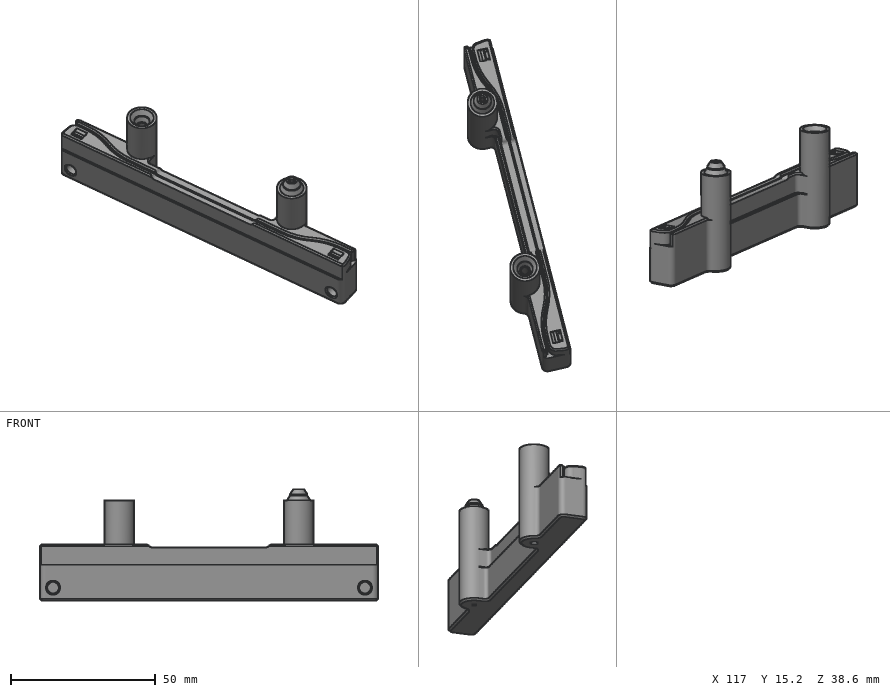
import cadquery as cq
import math

length = 117.0
half_length = length / 2
body_depth = 10.3
body_height = 19.5
corner_radius = 2.0
bottom_chamfer = 0.7
top_chamfer = 0.6

ledge_height = 12.5
front_setback = 0.7
back_setback = 1.0
ledge_chamfer = 0.4

pillar_spacing = 62.0
pillar_radius = 5.1
total_depth = 15.2
pillar_top = 34.7
pillar_x = pillar_spacing / 2
pillar_y = total_depth - pillar_radius
pillar_fillet = 1.8
notch_half_width = pillar_x - pillar_radius
notch_back = 7.0
notch_fillet = 1.4

total_height = 38.6
cone_base_radius = 4.1
cone_middle_radius = 3.0
cone_end_radius = 1.9
tip_collar_bottom = 36.4
tip_collar_top = 36.9
tip_bore_radius = 0.7
tip_mouth_radius = 1.2
tip_mouth_depth = 0.5
socket_collar_top = pillar_top - (tip_collar_bottom - pillar_top)
socket_collar_bottom = pillar_top - (tip_collar_top - pillar_top)
socket_floor = pillar_top - (total_height - pillar_top)
socket_middle_radius = 2.7
socket_end_radius = 1.8
socket_bore_radius = 1.3

lowered_height = 18.5
ramp_middle = 20.7
ramp_radius = 1.5

channel_floor = 14.6
channel_width = 0.6
channel_middle_y = 3.0
channel_end_y = 8.0
bend_start = 31.8
bend_end = 52.4
front_mouth_x = half_length - 0.4
back_mouth_x = half_length - 0.8
mouth_front_y = 2.8
front_lip_radius = 2.6
back_lip_radius = 0.7

pocket_x = 53.1
pocket_width = 4.2
pocket_front = 2.5
pocket_back = 6.0
pocket_slope = 1.0
pocket_depth = 0.7
well_back = 3.9
well_depth = 1.4
wedge_width = 2.6
wedge_depth = 1.0

pin_x = 53.9
pin_z = 4.6
pin_radius = 2.0
pin_depth = 5.8
pin_chamfer = 0.5

overrun = 1.2
slack = 0.1


def both_ends(shape):
    """Return a right-hand shape together with its mirror image on the left."""
    return shape.union(shape.mirror("YZ"))


def rounded_plan(bottom, top, middle_back):
    """Bar outline with rounded corners, its back cut forward to middle_back between the pillars."""
    block = (
        cq.Workplane("XY", origin=(0, body_depth / 2, bottom))
        .rect(length, body_depth)
        .extrude(top - bottom)
        .edges("|Z")
        .fillet(corner_radius)
    )
    notch_depth = pillar_y - middle_back
    notch = (
        cq.Workplane("XY", origin=(0, middle_back + notch_depth / 2, bottom))
        .rect(2 * notch_half_width, notch_depth)
        .extrude(top - bottom)
        .edges("|Z and <Y")
        .fillet(notch_fillet)
    )
    back_strip = (
        cq.Workplane("XY", origin=(0, pillar_y + body_depth / 2, bottom))
        .rect(2 * pillar_x, body_depth)
        .extrude(top - bottom)
    )
    return block.cut(notch).cut(back_strip)


def pillars():
    """The two round pillars, standing from the underside up to their shoulders."""
    return (
        cq.Workplane("XY")
        .pushPoints([(-pillar_x, pillar_y), (pillar_x, pillar_y)])
        .circle(pillar_radius)
        .extrude(pillar_top)
    )


def pillar_webs():
    """Concave fillets joining the back of the bar to the outer side of each pillar."""
    web_top = body_height - top_chamfer
    rise = body_depth + pillar_fillet - pillar_y
    reach = math.sqrt((pillar_radius + pillar_fillet) ** 2 - rise**2)
    centre_x = pillar_x + reach
    centre_y = body_depth + pillar_fillet
    share = pillar_radius / (pillar_radius + pillar_fillet)
    web = (
        cq.Workplane("XY")
        .moveTo(pillar_x, pillar_y)
        .lineTo(pillar_x + share * reach, pillar_y + share * rise)
        .lineTo(centre_x, centre_y)
        .lineTo(centre_x, pillar_y)
        .close()
        .extrude(web_top)
    )
    hollow = cq.Workplane("XY").center(centre_x, centre_y).circle(pillar_fillet).extrude(web_top)
    return both_ends(web.cut(hollow))


def base():
    """Lower part of the bar joined to the pillars, with a chamfer around the underside."""
    ledge_edge = cq.selectors.BoxSelector(
        (-notch_half_width, notch_back - slack, ledge_height - slack),
        (notch_half_width, notch_back + slack, ledge_height + slack),
    )
    return (
        rounded_plan(0, ledge_height, notch_back)
        .edges(ledge_edge)
        .chamfer(ledge_chamfer)
        .union(pillar_webs())
        .union(pillars())
        .faces("<Z")
        .edges()
        .chamfer(bottom_chamfer)
    )


def channel():
    """Cable channel from its floor to the top face, flaring at both ends of the bar."""
    half_width = channel_width / 2
    swing = channel_end_y - channel_middle_y
    run = bend_end - bend_start
    bend_angle = 2 * math.atan(swing / run)
    middle_x = (bend_start + bend_end) / 2
    middle_y = (channel_middle_y + channel_end_y) / 2
    offset_x = half_width * math.sin(bend_angle)
    offset_y = half_width * math.cos(bend_angle)
    front_y = channel_end_y - half_width
    back_y = channel_end_y + half_width
    beyond_x = half_length + overrun
    beyond_y = body_depth + overrun
    half = (
        cq.Workplane("XY", origin=(0, 0, channel_floor))
        .moveTo(0, channel_middle_y - half_width)
        .lineTo(bend_start, channel_middle_y - half_width)
        .tangentArcPoint((middle_x + offset_x, middle_y - offset_y), relative=False)
        .tangentArcPoint((bend_end, front_y), relative=False)
        .lineTo(front_mouth_x - front_lip_radius, front_y)
        .tangentArcPoint((front_mouth_x, front_y - front_lip_radius), relative=False)
        .lineTo(half_length, mouth_front_y)
        .lineTo(beyond_x, mouth_front_y)
        .lineTo(beyond_x, beyond_y)
        .lineTo(back_mouth_x, beyond_y)
        .lineTo(back_mouth_x, back_y + back_lip_radius)
        .radiusArc((back_mouth_x - back_lip_radius, back_y), -back_lip_radius)
        .lineTo(bend_end, back_y)
        .tangentArcPoint((middle_x - offset_x, middle_y + offset_y), relative=False)
        .tangentArcPoint((bend_start, channel_middle_y + half_width), relative=False)
        .lineTo(0, channel_middle_y + half_width)
        .close()
        .extrude(body_height - channel_floor)
    )
    return both_ends(half)


def upper_body():
    """Set-in upper part of the bar with the channel, its top edges chamfered."""
    body = rounded_plan(ledge_height, body_height, notch_back - back_setback)
    front_cut = cq.Workplane("XY").box(length, 2 * front_setback, 2 * body_height)
    body = body.cut(front_cut).cut(channel())
    return body.faces(">Z").edges().chamfer(top_chamfer)


def lowered_middle():
    """Cutter that lowers the middle of the top face, with S-shaped ramps at both ends."""
    drop = body_height - lowered_height
    foot_x = ramp_middle - drop / 2
    head_x = ramp_middle + drop / 2
    above = body_height + overrun
    far_x = head_x + 2 * ramp_radius
    cutter = (
        cq.Workplane("XZ")
        .moveTo(-far_x, body_height)
        .lineTo(-head_x, body_height)
        .lineTo(-foot_x, lowered_height)
        .lineTo(foot_x, lowered_height)
        .lineTo(head_x, body_height)
        .lineTo(far_x, body_height)
        .lineTo(far_x, above)
        .lineTo(-far_x, above)
        .close()
        .extrude(-notch_back)
    )
    ramp_ends = cq.selectors.BoxSelector(
        (-far_x + slack, -slack, lowered_height - slack),
        (far_x - slack, notch_back + slack, body_height + slack),
    )
    return cutter.edges("|Y").edges(ramp_ends).fillet(ramp_radius)


def latch_pockets():
    """Pocket with a sloped back, a deeper well at the front and a wedge standing in the well."""
    floor = body_height - pocket_depth
    well_floor = body_height - well_depth
    left = pocket_x - pocket_width / 2
    pocket = (
        cq.Workplane("YZ", origin=(left, 0, 0))
        .moveTo(pocket_front, body_height)
        .lineTo(pocket_front, well_floor)
        .lineTo(well_back, well_floor)
        .lineTo(well_back, floor)
        .lineTo(pocket_back - pocket_slope, floor)
        .lineTo(pocket_back, body_height)
        .close()
        .extrude(pocket_width)
    )
    wedge = (
        cq.Workplane("YZ", origin=(pocket_x - wedge_width / 2, 0, 0))
        .moveTo(pocket_front, floor)
        .lineTo(pocket_front, well_floor)
        .lineTo(pocket_front + wedge_depth, well_floor)
        .close()
        .extrude(wedge_width)
    )
    return both_ends(pocket.cut(wedge))


def pin_holes():
    """Chamfered blind holes, turned about axes along Y."""
    hole = (
        cq.Workplane("XY")
        .moveTo(0, 0)
        .lineTo(pin_radius + pin_chamfer, 0)
        .lineTo(pin_radius, pin_chamfer)
        .lineTo(pin_radius, pin_depth)
        .lineTo(0, pin_depth)
        .close()
        .revolve(360, (0, 0, 0), (0, 1, 0))
        .translate((pin_x, 0, pin_z))
    )
    return both_ends(hole)


def turned(profile, x):
    """Solid of revolution about a pillar axis from (radius, height) points."""
    return (
        cq.Workplane("XZ")
        .polyline(profile)
        .close()
        .revolve(360, (0, 0, 0), (0, 1, 0))
        .translate((x, pillar_y, 0))
    )


def tip():
    """Two cones with a narrow collar between them, on top of the right pillar."""
    profile = [
        (0, pillar_top),
        (cone_base_radius, pillar_top),
        (cone_middle_radius, tip_collar_bottom),
        (cone_middle_radius, tip_collar_top),
        (cone_end_radius, total_height),
        (0, total_height),
    ]
    return turned(profile, pillar_x)


def tip_bore():
    """Bore through the right pillar, countersunk at the tip."""
    profile = [
        (0, 0),
        (tip_bore_radius, 0),
        (tip_bore_radius, total_height - tip_mouth_depth),
        (tip_mouth_radius, total_height),
        (0, total_height),
    ]
    return turned(profile, pillar_x)


def socket_bore():
    """Stepped conical socket in the left pillar, with a bore through to the underside."""
    profile = [
        (0, 0),
        (socket_bore_radius, 0),
        (socket_bore_radius, socket_floor),
        (socket_end_radius, socket_floor),
        (socket_middle_radius, socket_collar_bottom),
        (socket_middle_radius, socket_collar_top),
        (cone_base_radius, pillar_top),
        (0, pillar_top),
    ]
    return turned(profile, -pillar_x)


upper = upper_body().cut(lowered_middle()).cut(latch_pockets())

result = (
    base()
    .cut(pin_holes())
    .union(upper)
    .union(tip())
    .cut(tip_bore())
    .cut(socket_bore())
)